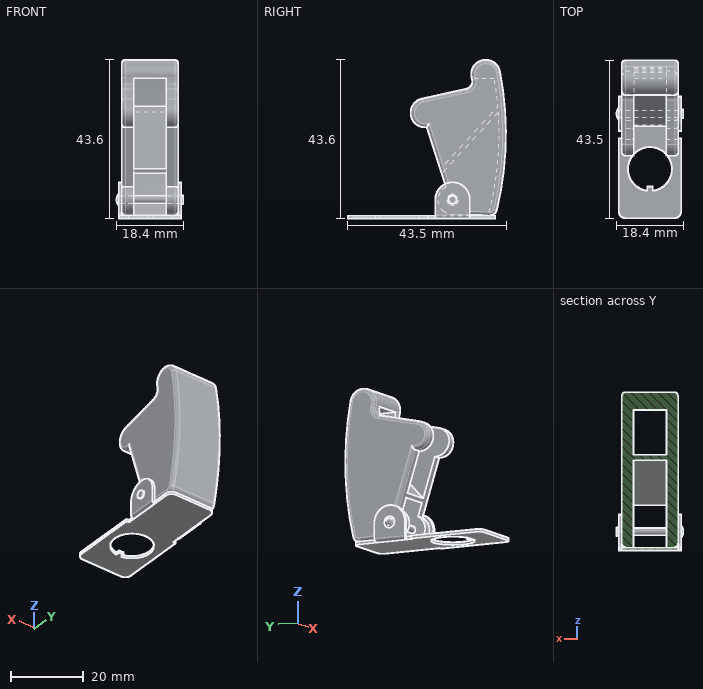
import cadquery as cq
import math


pin_height = 5.25

sheet = 0.85
bracket_width = 17.2
bracket_front = -28.75
bracket_back = 11.8
corner_radius = 1.9
ear_radius = 4.75
bend_radius = 1.05
relief_length = 1.95
switch_hole_diameter = 12.0
switch_hole_y = -15.2
key_width = 1.6
key_height = 1.22

cover_height = 43.65
lobe_radius = 4.0
edge_fillet = 1.0
head_y = 9.13
nose_y = -7.5
nose_z = 29.1
brow_angle = 12.5
brow_fillet = 2.0
back_y = 14.7
back_radius = 89.1
heel_z = 0.85
heel_fillet = 2.0
edge_top_y = -7.07
edge_bottom_y = -1.85
slot_width = 9.0
wall = 2.0
web_front_y = -3.5
web_front_z = 13.63
web_back_z = 30.87
web_thickness = 1.15
head_lip = 0.17

pin_diameter = 2.0
dome_diameter = 3.2
dome_height = 0.6
cap_diameter = 2.4
cap_height = 0.6
cap_fillet = 0.17

cover_width = bracket_width - 2 * sheet
side_x = bracket_width / 2

quarter_turn = 90
straight_up = quarter_turn
straight_front = 2 * quarter_turn


def polar(center, radius, degrees):
    """Point at an angle on a circle in the YZ plane; 0 degrees points along +Y."""
    angle = math.radians(degrees)
    return (center[0] + radius * math.cos(angle), center[1] + radius * math.sin(angle))


def circle_z(center, radius, y, side):
    """Height of a circle at y; side is +1 for its upper half and -1 for its lower half."""
    return center[1] + side * math.sqrt(radius**2 - (y - center[0]) ** 2)


def extrude_yz(outline, width):
    """Solid of a YZ outline, centred on X = 0."""
    return outline.extrude(width / 2, both=True)


def make_channel(width, bottom, radius):
    """Block of the length of the ears whose bottom side edges are rounded."""
    top = pin_height + ear_radius
    return (
        cq.Workplane("XY", origin=(0, 0, bottom))
        .rect(width, 2 * ear_radius)
        .extrude(top - bottom)
        .edges("|Y and <Z")
        .fillet(radius)
    )


def make_ears():
    """Both round-topped hinge ears, bent up from the strap that joins them."""
    channel = make_channel(bracket_width, 0, bend_radius)
    channel = channel.cut(make_channel(cover_width, sheet, bend_radius - sheet))
    ear_outline = (
        cq.Workplane("YZ")
        .moveTo(-ear_radius, 0)
        .lineTo(ear_radius, 0)
        .lineTo(ear_radius, pin_height)
        .threePointArc((0, pin_height + ear_radius), (-ear_radius, pin_height))
        .close()
    )
    return channel.intersect(extrude_yz(ear_outline, bracket_width))


def make_bracket():
    relief_front = -ear_radius - relief_length
    front_length = relief_front - bracket_front
    back_length = bracket_back - relief_front
    front_plate = (
        cq.Workplane("XY")
        .center(0, bracket_front + front_length / 2)
        .rect(bracket_width, front_length)
        .extrude(sheet)
        .edges("|Z and <Y")
        .fillet(corner_radius)
    )
    back_plate = (
        cq.Workplane("XY")
        .center(0, bracket_back - back_length / 2)
        .rect(cover_width, back_length)
        .extrude(sheet)
        .edges("|Z and >Y")
        .fillet(corner_radius)
    )
    bracket = front_plate.union(back_plate).union(make_ears())
    hole_radius = switch_hole_diameter / 2
    switch_hole = cq.Workplane("XY").center(0, switch_hole_y).circle(hole_radius).extrude(sheet)
    key = (
        cq.Workplane("XY")
        .center(0, switch_hole_y - hole_radius)
        .rect(key_width, 2 * key_height)
        .extrude(sheet)
    )
    pin_hole = extrude_yz(
        cq.Workplane("YZ").center(0, pin_height).circle(pin_diameter / 2), bracket_width
    )
    return bracket.cut(switch_hole.cut(key)).cut(pin_hole)


pivot = (0, pin_height)
head = (head_y, cover_height - lobe_radius)
nose = (nose_y, nose_z)
back_center_y = back_y - back_radius
back_center = (
    back_center_y,
    head[1] - math.sqrt((back_radius - lobe_radius) ** 2 - (head_y - back_center_y) ** 2),
)


def back_curve_y(z, inset=0.0):
    """Y of the curved back at a height, moved inward by an inset."""
    return back_center[0] + math.sqrt((back_radius - inset) ** 2 - (z - back_center[1]) ** 2)


def make_cover_blank():
    """Solid guard with rounded side edges."""
    down_front = straight_front + brow_angle
    brow_normal = straight_up + brow_angle
    neck_top = polar(head, lobe_radius, down_front)
    brow_end = polar(nose, lobe_radius, brow_normal)

    run = math.radians(brow_angle)
    along = (math.cos(run), math.sin(run))
    reach = (neck_top[0] - brow_end[0]) * along[0] + (neck_top[1] - brow_end[1]) * along[1]
    corner = (brow_end[0] + reach * along[0], brow_end[1] + reach * along[1])
    neck_end = polar(corner, brow_fillet, brow_normal)
    brow_start = polar(corner, brow_fillet, down_front)
    brow_center = polar(brow_start, brow_fillet, brow_normal)
    brow_middle = polar(brow_center, brow_fillet, brow_angle - quarter_turn / 2)

    head_back_angle = math.degrees(math.atan2(head[1] - back_center[1], head[0] - back_center[0]))
    head_back = polar(head, lobe_radius, head_back_angle)
    edge_top = (edge_top_y, circle_z(nose, lobe_radius, edge_top_y, -1))
    edge_bottom = (edge_bottom_y, circle_z(pivot, lobe_radius, edge_bottom_y, 1))

    heel = (back_curve_y(heel_z), heel_z)
    heel_distance = math.hypot(heel[0] - pivot[0], heel[1] - pivot[1])
    heel_angle = math.degrees(math.atan2(heel[1] - pivot[1], heel[0] - pivot[0]))
    tangent_angle = heel_angle - math.degrees(math.acos(lobe_radius / heel_distance))
    pivot_bottom = polar(pivot, lobe_radius, tangent_angle)

    outline = (
        cq.Workplane("YZ")
        .moveTo(*head_back)
        .threePointArc(polar(head, lobe_radius, straight_up), neck_top)
        .lineTo(*neck_end)
        .threePointArc(brow_middle, brow_start)
        .lineTo(*brow_end)
        .threePointArc(polar(nose, lobe_radius, straight_front), edge_top)
        .lineTo(*edge_bottom)
        .threePointArc(polar(pivot, lobe_radius, straight_front), pivot_bottom)
        .lineTo(*heel)
        .threePointArc((back_y, back_center[1]), head_back)
        .close()
    )
    blank = extrude_yz(outline, cover_width)
    blank = blank.edges(cq.selectors.NearestToPointSelector((0, *heel))).fillet(heel_fillet)
    return blank.faces("<X or >X").edges().fillet(edge_fillet)


def make_slot():
    """Open middle of the guard, as far as the curved back wall."""
    ceiling = polar(head, lobe_radius, straight_front + brow_angle)[1] - head_lip
    front = nose_y - 2 * lobe_radius
    floor = -sheet
    middle = (back_y - wall, back_center[1])
    outline = (
        cq.Workplane("YZ")
        .moveTo(front, floor)
        .lineTo(front, ceiling)
        .lineTo(back_curve_y(ceiling, wall), ceiling)
        .threePointArc(middle, (back_curve_y(floor, wall), floor))
        .close()
    )
    return extrude_yz(outline, slot_width)


def make_web(blank):
    """Sloping web that crosses the slot, flush with the front edges of the side walls."""
    back_end_y = back_curve_y(web_back_z, wall / 2)
    rise = (web_back_z - web_front_z) / (back_curve_y(web_back_z, wall) - web_front_y)
    top_back = (back_end_y, web_front_z + rise * (back_end_y - web_front_y))
    top_front = (nose_y, web_front_z + rise * (nose_y - web_front_y))
    drop = web_thickness * math.hypot(1, rise)
    outline = (
        cq.Workplane("YZ")
        .moveTo(*top_front)
        .lineTo(*top_back)
        .line(0, -drop)
        .lineTo(top_front[0], top_front[1] - drop)
        .close()
    )
    return extrude_yz(outline, slot_width).intersect(blank)


def make_cover():
    blank = make_cover_blank()
    pin_hole = extrude_yz(cq.Workplane("YZ").center(*pivot).circle(pin_diameter / 2), cover_width)
    return blank.cut(make_slot()).union(make_web(blank)).cut(pin_hole)


def make_pin():
    """Shaft with a domed head at -X and a flat cap at +X."""
    shaft = extrude_yz(cq.Workplane("YZ").center(*pivot).circle(pin_diameter / 2), bracket_width)
    cap = (
        cq.Workplane("YZ", origin=(side_x, 0, pin_height))
        .circle(cap_diameter / 2)
        .extrude(cap_height)
        .faces(">X")
        .edges()
        .fillet(cap_fillet)
    )
    dome_radius = dome_diameter / 2
    sphere_radius = (dome_radius**2 + dome_height**2) / (2 * dome_height)
    half_angle = math.asin(dome_radius / sphere_radius) / 2
    arc_middle = (
        -side_x - dome_height + sphere_radius * (1 - math.cos(half_angle)),
        sphere_radius * math.sin(half_angle),
    )
    dome = (
        cq.Workplane("XY", origin=(0, 0, pin_height))
        .moveTo(-side_x, 0)
        .lineTo(-side_x, dome_radius)
        .threePointArc(arc_middle, (-side_x - dome_height, 0))
        .close()
        .revolve(360, (0, 0, 0), (1, 0, 0))
    )
    return shaft.union(cap).union(dome)


bracket = make_bracket()
cover = make_cover()
pin = make_pin()

result = cq.Compound.makeCompound([bracket.solids().val(), cover.solids().val(), pin.solids().val()])